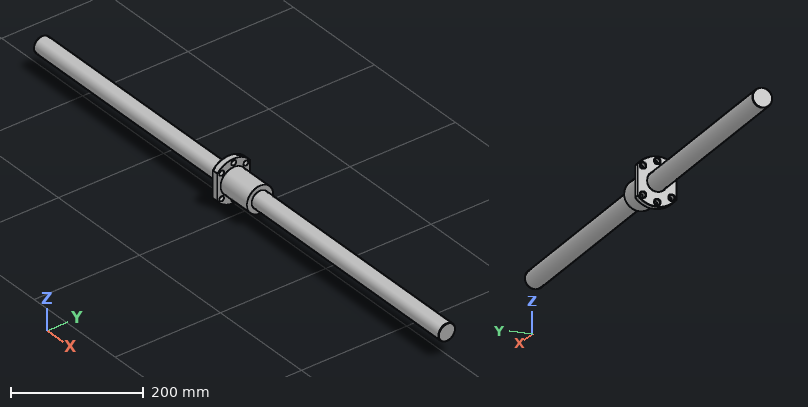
import cadquery as cq
import math

SHAFT_LENGTH = 1000.0
SHAFT_DIAMETER = 32.0
SHAFT_CHAMFER = 0.8

NUT_LENGTH = 77.0
FLANGE_DIAMETER = 80.0
FLANGE_WIDTH = 62.0
FLANGE_THICKNESS = 12.0
FLANGE_CHAMFER = 0.5
BORE_CHAMFER = 0.5
BARREL_DIAMETER = 50.0

BOLT_CIRCLE_DIAMETER = 65.0
BOLT_HOLE_DIAMETER = 9.0
BOLT_HOLE_CHAMFER = 1.0
BOLT_ANGLES = (-45, 0, 45, 135, 180, 225)
OIL_HOLE_DIAMETER = 7.0
OIL_HOLE_SETBACK = 3.6
OIL_HOLE_ANGLE = 22.5

nut_start = (SHAFT_LENGTH - NUT_LENGTH) / 2
flange_end = nut_start + FLANGE_THICKNESS
nut_end = nut_start + NUT_LENGTH


def cylinder_along_x(diameter, start, end):
    """Cylinder on the X axis, with its seam on the +Z side."""
    plane = cq.Plane(origin=(start, 0, 0), xDir=(0, 0, 1), normal=(1, 0, 0))
    return cq.Workplane(plane).circle(diameter / 2).extrude(end - start)


def make_shaft():
    """Round shaft with a chamfer on each end."""
    shaft = cylinder_along_x(SHAFT_DIAMETER, 0, SHAFT_LENGTH)
    return shaft.faces("<X or >X").chamfer(SHAFT_CHAMFER)


def make_flange():
    """Round flange with two flat sides."""
    disc = cylinder_along_x(FLANGE_DIAMETER, nut_start, flange_end)
    disc = disc.faces("<X").chamfer(FLANGE_CHAMFER)
    flat_sides = cq.Workplane("YZ", origin=(nut_start, 0, 0)).rect(FLANGE_WIDTH, FLANGE_DIAMETER)
    return disc.intersect(flat_sides.extrude(FLANGE_THICKNESS))


def countersink(diameter, chamfer, y=0, z=0):
    """Cutter that chamfers the front edge of a hole in the flange."""
    radius = diameter / 2
    front = cq.Vector(nut_start, y, z)
    return cq.Workplane(cq.Solid.makeCone(radius + chamfer, radius, chamfer, front, cq.Vector(1, 0, 0)))


def cut_bolt_holes(body):
    """Cut the chamfered holes on the bolt circle."""
    for angle in BOLT_ANGLES:
        y = BOLT_CIRCLE_DIAMETER / 2 * math.sin(math.radians(angle))
        z = BOLT_CIRCLE_DIAMETER / 2 * math.cos(math.radians(angle))
        hole = cylinder_along_x(BOLT_HOLE_DIAMETER, nut_start, flange_end).translate((0, y, z))
        body = body.cut(hole).cut(countersink(BOLT_HOLE_DIAMETER, BOLT_HOLE_CHAMFER, y, z))
    return body


def make_oil_hole():
    """Cutter for the radial oil hole from the flange rim into the bore."""
    axis_x = nut_start + OIL_HOLE_SETBACK
    hole = cq.Workplane("XY", origin=(axis_x, 0, 0)).circle(OIL_HOLE_DIAMETER / 2)
    return hole.extrude(FLANGE_DIAMETER / 2).rotate((0, 0, 0), (1, 0, 0), -OIL_HOLE_ANGLE)


def make_nut():
    """Flange and barrel, bored to fit the shaft."""
    barrel = cylinder_along_x(BARREL_DIAMETER, flange_end, nut_end)
    bore = cylinder_along_x(SHAFT_DIAMETER, nut_start, nut_end)
    body = make_flange().union(barrel)
    body = body.cut(bore).cut(countersink(SHAFT_DIAMETER, BORE_CHAMFER))
    return cut_bolt_holes(body).cut(make_oil_hole())


shaft = make_shaft()
nut = make_nut()

result = cq.Compound.makeCompound([shaft.val(), nut.val()])